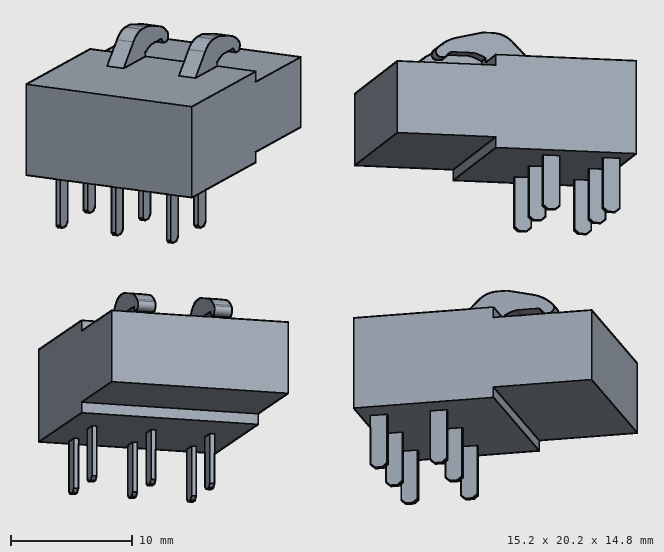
import cadquery as cq
import math


length = 20.25
width = 15.25
front_length = 11.9
front_height = 7.8
step = 0.9

hook_width = 1.52
hook_spacing = 6.6
hook_height = 2.5
ramp_foot_y = 7.85
ramp_rise = 1.82
crest_end_y = 12.09
crest_blend = 0.08
nose_start = (14.38, 1.96)
nose_end = (15.82, 1.22)
nose_bulge = 0.1
tip_center = (15.7, 0.73)
tip_radius = 0.45
tip_flat_end_y = 15.33
belly_z = 0.75
belly_start_y = 13.0
root_z = 0.32
root_bulge = 0.06

pin_columns = 3
pin_rows = 2
pin_pitch = 5.08
pin_front_y = 1.54
pin_thickness = 0.4
pin_width = 1.4
pin_length = 4.5
pin_chamfer_width = 0.36
pin_chamfer_height = 0.3


def bulged_middle(start, end, bulge):
    """Middle point of an arc that rises by bulge above the chord from start to end."""
    dy = end[0] - start[0]
    dz = end[1] - start[1]
    chord = math.hypot(dy, dz)
    return (
        (start[0] + end[0]) / 2 - bulge * dz / chord,
        (start[1] + end[1]) / 2 + bulge * dy / chord,
    )


def make_block(y_start, y_end, z_start, z_end):
    """Full-width box between two Y and two Z positions."""
    return cq.Workplane("XY").box(
        width, y_end - y_start, z_end - z_start, centered=(True, False, False)
    ).translate((0, y_start, z_start))


def make_hook(x_center):
    """Curved latch hook, drawn in the YZ plane with Z measured from the housing top."""
    diagonal = math.sqrt(0.5)
    half_turn = math.radians(45 / 2)

    shoulder_radius = (hook_height - ramp_rise) / (1 - diagonal)
    ramp_top = (ramp_foot_y + ramp_rise, ramp_rise)
    crest_start = (ramp_top[0] + shoulder_radius * diagonal, hook_height)
    shoulder_middle = (
        crest_start[0] - shoulder_radius * math.sin(half_turn),
        hook_height - shoulder_radius * (1 - math.cos(half_turn)),
    )

    crest_end = (crest_end_y, hook_height)
    crest_corner_y = crest_end_y + crest_blend
    back_run = nose_start[0] - crest_corner_y
    back_drop = hook_height - nose_start[1]
    back_length = math.hypot(back_run, back_drop)
    back_start = (
        crest_corner_y + crest_blend * back_run / back_length,
        hook_height - crest_blend * back_drop / back_length,
    )

    tip_top = (tip_center[0] + tip_radius * diagonal, tip_center[1] + tip_radius * diagonal)
    tip_middle = (
        tip_center[0] + tip_radius * math.cos(half_turn),
        tip_center[1] - tip_radius * math.sin(half_turn),
    )
    tip_bottom = (tip_center[0], tip_center[1] - tip_radius)

    belly_end = (tip_flat_end_y - (belly_z - tip_bottom[1]), belly_z)
    belly_start = (belly_start_y, belly_z)
    root = (front_length, root_z)

    profile = (
        cq.Workplane("YZ")
        .moveTo(ramp_foot_y, 0)
        .lineTo(*ramp_top)
        .threePointArc(shoulder_middle, crest_start)
        .lineTo(*crest_end)
        .tangentArcPoint(back_start, relative=False)
        .lineTo(*nose_start)
        .threePointArc(bulged_middle(nose_start, nose_end, nose_bulge), nose_end)
        .lineTo(*tip_top)
        .threePointArc(tip_middle, tip_bottom)
        .lineTo(tip_flat_end_y, tip_bottom[1])
        .lineTo(*belly_end)
        .lineTo(*belly_start)
        .threePointArc(bulged_middle(root, belly_start, root_bulge), root)
        .lineTo(front_length, 0)
        .close()
    )
    hook = profile.extrude(hook_width / 2, both=True)
    return hook.translate((x_center, 0, front_height))


def make_housing():
    """Stepped block with its two latch hooks."""
    front_block = make_block(0, front_length, 0, front_height)
    rear_block = make_block(front_length, length, step, front_height - step)
    body = front_block.union(rear_block)
    for side in (-1, 1):
        body = body.union(make_hook(side * hook_spacing / 2))
    return body


def make_pin(x_center, y_center):
    """Flat pin hanging from the housing underside, its end chamfered on the narrow edges."""
    half_width = pin_width / 2
    half_end = half_width - pin_chamfer_width
    shoulder_z = pin_chamfer_height - pin_length
    outline = [
        (-half_width, 0),
        (-half_width, shoulder_z),
        (-half_end, -pin_length),
        (half_end, -pin_length),
        (half_width, shoulder_z),
        (half_width, 0),
    ]
    pin = cq.Workplane("YZ").polyline(outline).close().extrude(pin_thickness / 2, both=True)
    return pin.translate((x_center, y_center, 0))


housing = make_housing()

pins = []
for column in range(pin_columns):
    for row in range(pin_rows):
        pin_x = (column - (pin_columns - 1) / 2) * pin_pitch
        pin_y = pin_front_y + row * pin_pitch
        pins.append(make_pin(pin_x, pin_y))

result = cq.Compound.makeCompound([housing.val(), *[pin.val() for pin in pins]])